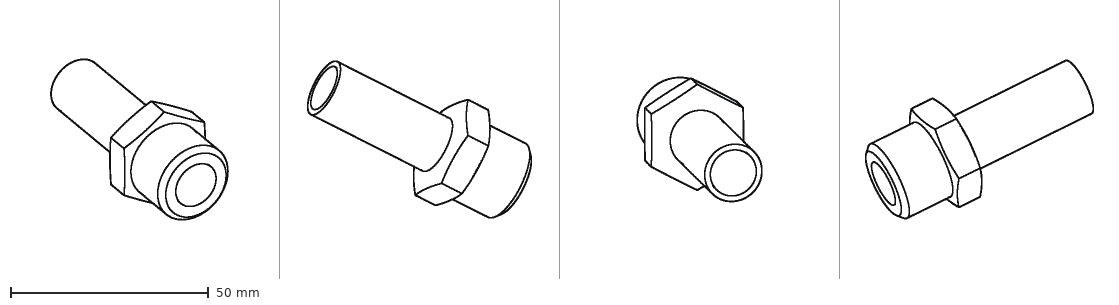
import cadquery as cq
import math

total_length = 57.0
tube_length = 34.05
tube_diameter = 15.0
bore_diameter = 12.0
spigot_length = 14.2
spigot_diameter = 21.0
spigot_chamfer = 1.5
hex_across_flats = 24.0
hex_shoulder_width = 0.1
hex_bevel_angle = 15.0

hex_end = total_length - spigot_length
hex_length = hex_end - tube_length
hex_across_corners = hex_across_flats / math.cos(math.radians(30))
corner_radius = hex_across_corners / 2


def cylinder(start, length, diameter):
    """Solid cylinder along +X, starting at the given X."""
    return cq.Workplane("YZ", origin=(start, 0, 0)).circle(diameter / 2).extrude(length)


def bevel_depth(inner_radius):
    """Axial depth of the conical bevel between inner_radius and the hexagon corners."""
    return (corner_radius - inner_radius) * math.tan(math.radians(hex_bevel_angle))


def beveled_hexagon():
    """Hexagon with corners on +Z and -Z, trimmed by a cone at each end."""
    prism = (
        cq.Workplane("YZ", origin=(tube_length, 0, 0))
        .polygon(6, hex_across_corners)
        .extrude(hex_length)
        .rotate((0, 0, 0), (1, 0, 0), 90)
    )
    shoulder_radius = tube_diameter / 2 + hex_shoulder_width
    spigot_radius = spigot_diameter / 2
    envelope = (
        cq.Workplane("XY")
        .moveTo(tube_length, 0)
        .lineTo(tube_length, shoulder_radius)
        .lineTo(tube_length + bevel_depth(shoulder_radius), corner_radius)
        .lineTo(hex_end - bevel_depth(spigot_radius), corner_radius)
        .lineTo(hex_end, spigot_radius)
        .lineTo(hex_end, 0)
        .close()
        .revolve(360, (0, 0, 0), (1, 0, 0))
    )
    return prism.intersect(envelope)


tube = cylinder(0, tube_length, tube_diameter)
spigot = cylinder(hex_end, spigot_length, spigot_diameter).faces(">X").chamfer(spigot_chamfer)
bore = cylinder(0, total_length, bore_diameter)

result = beveled_hexagon().union(tube).union(spigot).cut(bore)